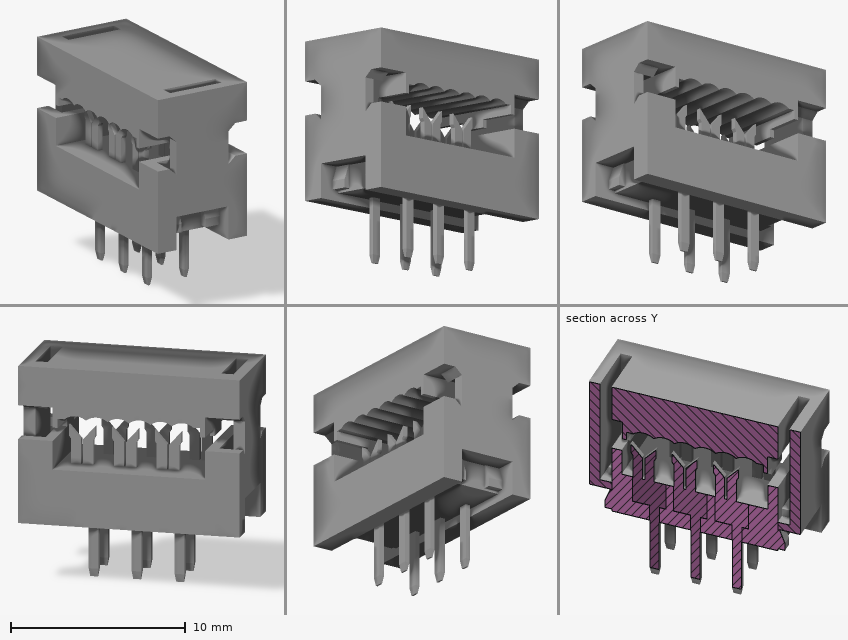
import cadquery as cq


LENGTH = 13.07
WIDTH = 6.0
COVER_TOP = 9.29
PIN_TIP = -3.31

ROW_PITCH = 2.54
WIRE_PITCH = ROW_PITCH / 2
CONTACTS_PER_ROW = 3
WIRE_COUNT = 2 * CONTACTS_PER_ROW
FIRST_WIRE_X = -(WIRE_COUNT - 1) / 2 * WIRE_PITCH

BASE_TOP = 4.98
WIRE_FLOOR = 3.3
TROUGH_HALF = 4.5
END_WALL_X = 5.12
CHANNEL_DEPTH = 0.48

CLAMP_HALF = TROUGH_HALF
COVER_END_BOTTOM = 6.97
ARM_BOTTOM = 5.78
ARM_THICKNESS = 0.29
POST_BOTTOM = 5.3
WIRE_FACE = 6.31
GROOVE_DEPTH = 0.22

LEG_HALF_WIDTH = 1.75
LEG_INNER_X = 5.84
LEG_BOTTOM = 2.01
FOOT_HEIGHT = 0.52
CHAMFER_Y = 0.47
CHAMFER_Z = 0.42
CATCH_X = 5.57
CATCH_SPLIT_Y = 0.8
SIDE_CATCH_BOTTOM = 0.63
SIDE_CATCH_EDGE = 1.14
SIDE_CATCH_RUN = 0.34
MIDDLE_CATCH_HEIGHT = 0.52

SHEET = 0.3
SLIT_HALF = 0.07
TINE_OUTER = 0.67
TIP_OUTER = 0.78
TIP_TOP = 5.6
FLARE_TOP = 4.97
FLARE_BOTTOM = 4.78
PLATE_END = 1.37
PLATE_BOTTOM = 1.57
PIN_OFFSET = 0.68
PIN_WIDTH = 0.59
TIP_START = -2.82
TIP_WIDTH = 0.45
TIP_SHEET = 0.12


def block(x_min, x_max, y_min, y_max, z_min, z_max):
    """Box between the given limits."""
    size = (x_max - x_min, y_max - y_min, z_max - z_min)
    return cq.Workplane("XY").box(*size, centered=False).translate((x_min, y_min, z_min))


def both_ends(shape):
    """Shape at the -X end together with its mirror image at the +X end."""
    return shape.union(shape.mirror("YZ"))


def chamfer_prism(top):
    """Tapered prism at the -X end, wider than the leg at the top and as wide as it below."""
    inner_half = LEG_HALF_WIDTH
    outer_half = LEG_HALF_WIDTH + CHAMFER_Y
    return (
        cq.Workplane("YZ", origin=(-LENGTH / 2, 0, 0))
        .moveTo(-outer_half, top)
        .lineTo(outer_half, top)
        .lineTo(inner_half, top - CHAMFER_Z)
        .lineTo(-inner_half, top - CHAMFER_Z)
        .close()
        .extrude(LENGTH / 2 - END_WALL_X)
    )


def fork_tine():
    """Right-hand tine of a fork centred on X = 0."""
    return (
        cq.Workplane("XZ")
        .moveTo(SLIT_HALF, WIRE_FLOOR)
        .lineTo(TINE_OUTER, WIRE_FLOOR)
        .lineTo(TINE_OUTER, FLARE_BOTTOM)
        .lineTo(TIP_OUTER, FLARE_TOP)
        .lineTo(TIP_OUTER, TIP_TOP)
        .lineTo(SLIT_HALF, FLARE_BOTTOM)
        .close()
        .extrude(SHEET / 2, both=True)
    )


def contact_shank():
    """Plate and pin shank: the part of a contact that fills its hole in the base."""
    plate = block(-TINE_OUTER, PLATE_END, -SHEET / 2, SHEET / 2, PLATE_BOTTOM, WIRE_FLOOR)
    pin_left = PIN_OFFSET - PIN_WIDTH / 2
    pin_right = PIN_OFFSET + PIN_WIDTH / 2
    pin = block(pin_left, pin_right, -SHEET / 2, SHEET / 2, TIP_START, PLATE_BOTTOM)
    return plate.union(pin)


def pin_tip():
    """Tapered end of the pin."""
    return (
        cq.Workplane("XY", origin=(PIN_OFFSET, 0, TIP_START))
        .rect(PIN_WIDTH, SHEET)
        .workplane(offset=PIN_TIP - TIP_START)
        .rect(TIP_WIDTH, TIP_SHEET)
        .loft()
    )


def make_contact():
    tines = both_ends(fork_tine())
    return contact_shank().union(tines).union(pin_tip())


def in_contact_places(shape):
    """Copies in both rows; the +Y row is the -Y row turned half a turn about Z."""
    copies = []
    for index in range(CONTACTS_PER_ROW):
        fork_x = FIRST_WIRE_X + index * ROW_PITCH
        front = shape.translate((fork_x, -ROW_PITCH / 2, 0))
        back = front.rotate((0, 0, 0), (0, 0, 1), 180)
        copies += [front, back]
    return copies


def side_catches():
    """Pair of ramped catches below the cover foot at the -X end."""
    profile = (
        cq.Workplane("XZ", origin=(0, LEG_HALF_WIDTH, 0))
        .moveTo(-END_WALL_X, SIDE_CATCH_BOTTOM)
        .lineTo(-CATCH_X, SIDE_CATCH_BOTTOM)
        .lineTo(-CATCH_X, SIDE_CATCH_EDGE)
        .lineTo(-CATCH_X + SIDE_CATCH_RUN, LEG_BOTTOM)
        .lineTo(-END_WALL_X, LEG_BOTTOM)
        .close()
    )
    catch = profile.extrude(LEG_HALF_WIDTH - CATCH_SPLIT_Y)
    return catch.union(catch.mirror("XZ"))


def middle_catch():
    """Single catch above the cover foot at the -X end."""
    bottom = LEG_BOTTOM + FOOT_HEIGHT
    top = bottom + MIDDLE_CATCH_HEIGHT
    return block(-CATCH_X, -END_WALL_X, -CATCH_SPLIT_Y, CATCH_SPLIT_Y, bottom, top)


def make_base():
    base = block(-LENGTH / 2, LENGTH / 2, -WIDTH / 2, WIDTH / 2, 0, BASE_TOP)
    trough = block(-TROUGH_HALF, TROUGH_HALF, -WIDTH / 2, WIDTH / 2, WIRE_FLOOR, BASE_TOP)
    channel = block(-LENGTH / 2, LENGTH / 2, -LEG_HALF_WIDTH, LEG_HALF_WIDTH, 0, CHANNEL_DEPTH)
    recess = block(-LENGTH / 2, -END_WALL_X, -LEG_HALF_WIDTH, LEG_HALF_WIDTH, 0, BASE_TOP)
    recess = recess.union(chamfer_prism(BASE_TOP))
    base = base.cut(trough).cut(channel).cut(both_ends(recess))
    base = base.union(both_ends(side_catches())).union(both_ends(middle_catch()))
    for hole in in_contact_places(contact_shank()):
        base = base.cut(hole)
    return base


def clamping_block():
    """Upper block with end arms and one round-topped groove per wire."""
    arm_inner = CLAMP_HALF - ARM_THICKNESS
    outline = (
        cq.Workplane("XZ", origin=(0, WIDTH / 2, 0))
        .moveTo(-LENGTH / 2, COVER_TOP)
        .lineTo(-LENGTH / 2, COVER_END_BOTTOM)
        .lineTo(-CLAMP_HALF, COVER_END_BOTTOM)
        .lineTo(-CLAMP_HALF, ARM_BOTTOM)
        .lineTo(-arm_inner, ARM_BOTTOM)
        .lineTo(-arm_inner, WIRE_FACE)
        .lineTo(FIRST_WIRE_X - WIRE_PITCH / 2, WIRE_FACE)
    )
    for index in range(WIRE_COUNT):
        wire_x = FIRST_WIRE_X + index * WIRE_PITCH
        crown = (wire_x, WIRE_FACE + GROOVE_DEPTH)
        cusp = (wire_x + WIRE_PITCH / 2, WIRE_FACE)
        outline = outline.threePointArc(crown, cusp)
    return (
        outline.lineTo(arm_inner, WIRE_FACE)
        .lineTo(arm_inner, ARM_BOTTOM)
        .lineTo(CLAMP_HALF, ARM_BOTTOM)
        .lineTo(CLAMP_HALF, COVER_END_BOTTOM)
        .lineTo(LENGTH / 2, COVER_END_BOTTOM)
        .lineTo(LENGTH / 2, COVER_TOP)
        .close()
        .extrude(WIDTH)
    )


def cover_leg():
    """Latching leg at the -X end, with a foot pointing inwards."""
    half = LEG_HALF_WIDTH
    leg = block(-LENGTH / 2, -LEG_INNER_X, -half, half, LEG_BOTTOM, COVER_TOP)
    foot_top = LEG_BOTTOM + FOOT_HEIGHT
    foot = block(-LEG_INNER_X, -END_WALL_X, -half, half, LEG_BOTTOM, foot_top)
    return leg.union(foot)


def leg_slot():
    """Opening through the cover directly above the foot."""
    half = LEG_HALF_WIDTH
    slot_bottom = COVER_END_BOTTOM - CHAMFER_Z
    return block(-LEG_INNER_X, -END_WALL_X, -half, half, slot_bottom, COVER_TOP)


def locating_post():
    """Short post that lengthens the middle of the -X arm."""
    inner_x = -CLAMP_HALF + ARM_THICKNESS
    return block(-CLAMP_HALF, inner_x, -CATCH_SPLIT_Y, CATCH_SPLIT_Y, POST_BOTTOM, ARM_BOTTOM)


def make_cover():
    cover = clamping_block().union(both_ends(chamfer_prism(COVER_END_BOTTOM)))
    cover = cover.cut(both_ends(leg_slot()))
    return cover.union(both_ends(cover_leg())).union(both_ends(locating_post()))


base = make_base()
cover = make_cover()
contacts = in_contact_places(make_contact())

result = cq.Compound.makeCompound(
    [base.val(), cover.val(), *[contact.val() for contact in contacts]]
)